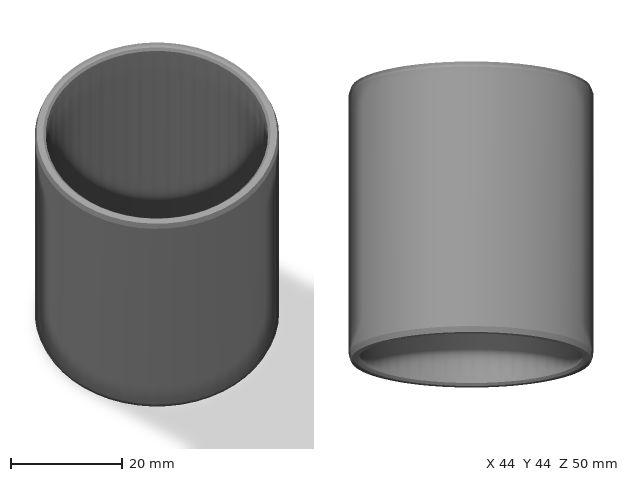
import cadquery as cq
import math

length = 50.0
outer_radius = 22.0
wall = 2.0
inner_radius = outer_radius - wall

outer_chamfer_length = 1.0
outer_chamfer_angle = 20.0
outer_chamfer_depth = outer_chamfer_length * math.tan(math.radians(outer_chamfer_angle))
inner_chamfer = 0.45

half_length = length / 2
outer_shoulder = half_length - outer_chamfer_length
inner_shoulder = half_length - inner_chamfer
outer_rim = outer_radius - outer_chamfer_depth
inner_rim = inner_radius + inner_chamfer

wall_section = [
    (inner_radius, -inner_shoulder),
    (inner_rim, -half_length),
    (outer_rim, -half_length),
    (outer_radius, -outer_shoulder),
    (outer_radius, outer_shoulder),
    (outer_rim, half_length),
    (inner_rim, half_length),
    (inner_radius, inner_shoulder),
]
result = cq.Workplane("XZ").polyline(wall_section).close().revolve(360, (0, 0), (0, 1))